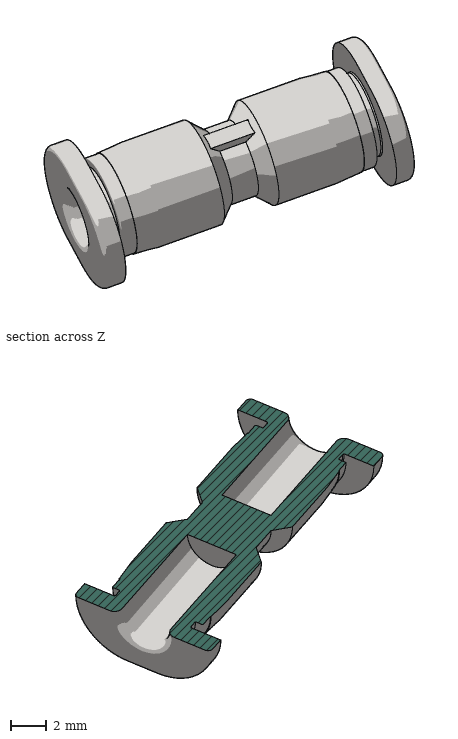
import cadquery as cq

length = 19.1
half_length = length / 2

flange_width = 9.0
flange_height = 7.0
flange_thickness = 1.2
flange_edge_radius = 0.3

collar_diameter = 5.0
collar_root_diameter = 5.08
collar_root_end = 1.3
rim_diameter = 6.0
taper_diameter = 6.07
body_diameter = 6.3
neck_diameter = 4.55
rim_start = 1.72
taper_start = 2.54
barrel_start = 4.05
barrel_end = 7.87
rim_edge_radius = 0.08

tolerance = 0.002

rib_width = 1.0
rib_span = 5.6

bore_diameter = 3.2
bore_mouth_radius = 0.52
bore_depth = 7.64

neck_start = barrel_end + (body_diameter - neck_diameter) / 2


def half_body():
    """Revolved body from the -Y flange to the mid-length plane."""
    steps = [
        (collar_root_diameter, flange_thickness),
        (collar_diameter, collar_root_end),
        (collar_diameter, rim_start),
        (rim_diameter, rim_start),
        (rim_diameter, taper_start),
        (taper_diameter, taper_start),
        (body_diameter, barrel_start),
        (body_diameter, barrel_end),
        (neck_diameter, neck_start),
        (neck_diameter, half_length),
    ]
    outline = [(0, flange_thickness - half_length)]
    outline += [(diameter / 2, distance - half_length) for diameter, distance in steps]
    outline.append((0, 0))
    body = cq.Workplane("XY").polyline(outline).close().revolve(360, (0, 0), (0, 1))
    rim_center = cq.Vector(0, rim_start - half_length, 0)
    rim_circles = body.edges("%CIRCLE").filter(
        lambda edge: (edge.arcCenter() - rim_center).Length < tolerance
    )
    return rim_circles.edges(cq.selectors.RadiusNthSelector(-1)).fillet(rim_edge_radius)


def flange():
    """Oval flange at the -Y end with its outer face edge rounded."""
    plate = (
        cq.Workplane("XZ", origin=(0, flange_thickness - half_length, 0))
        .slot2D(flange_width, flange_height)
        .extrude(flange_thickness)
    )
    return plate.faces("<Y").edges().fillet(flange_edge_radius)


def bore():
    """Blind bore cutter entering the -Y end, flared by a quarter-round mouth."""
    radius = bore_diameter / 2
    mouth_end = bore_mouth_radius - half_length
    floor = bore_depth - half_length
    return (
        cq.Workplane("XY")
        .moveTo(0, -half_length)
        .lineTo(radius + bore_mouth_radius, -half_length)
        .radiusArc((radius, mouth_end), bore_mouth_radius)
        .lineTo(radius, floor)
        .lineTo(0, floor)
        .close()
        .revolve(360, (0, 0), (0, 1))
    )


half = half_body().union(flange()).cut(bore())

ribs = cq.Workplane("XY").box(rib_width, 2 * (half_length - barrel_end), rib_span)

result = half.union(half.mirror("XZ")).union(ribs)